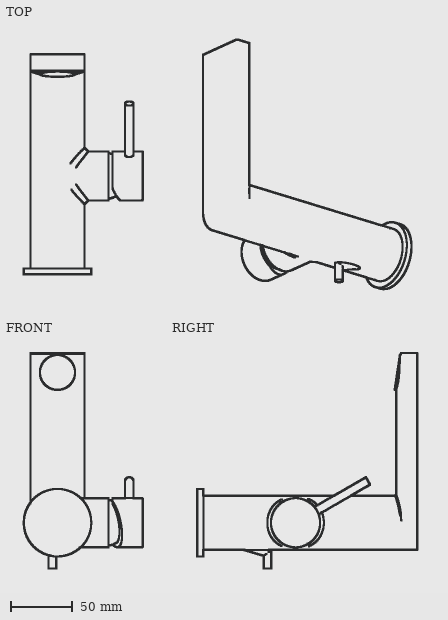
import cadquery as cq
import math


length = 179.0
spout_top = 138.0
hub_end = 69.35

body_radius = 22.1
flange_radius = 27.5
flange_thickness = 5.0

spout_edge_thickness = 13.5
spout_bow = 3.8
tip_bow = 0.3
edge_round = 0.8
corner_chamfer = 0.8

outlet_blend_start = 109.0
outlet_radius = 14.3
outlet_height = 122.2
outlet_tilt = 8.5
outlet_depth = 16.4
outlet_length = 8.0

hub_y = 80.0
hub_radius = 20.0
hub_collar_end = 41.5
hub_root_chamfer = 3.0
dome_radius = 19.0
dome_center_x = 38.2
cap_start = 44.6
cap_round = 1.0
relief_slope = 21.6

lever_x = 58.3
lever_radius = 3.5
lever_reach = 68.0
lever_angle = 30.0

pin_x = -4.2
pin_y = 57.2
pin_radius = 3.25
pin_tip_z = -37.31
pin_elbow_z = -24.5
pin_leg_rise = 16.5
pin_leg_length = 28.0


def cylinder(start, direction, radius, height):
    """Solid cylinder from a start point along a direction."""
    return cq.Workplane(cq.Solid.makeCylinder(radius, height, cq.Vector(*start), cq.Vector(*direction)))


def make_blade():
    """Flat spout blade with a half-round foot matching the body, rounded on all its outer edges."""
    return (
        cq.Workplane("XZ", origin=(0, length, 0))
        .moveTo(body_radius, 0)
        .lineTo(body_radius, spout_top)
        .lineTo(-body_radius, spout_top)
        .lineTo(-body_radius, 0)
        .threePointArc((0, -body_radius), (body_radius, 0))
        .close()
        .extrude(spout_edge_thickness)
        .faces("<Y or >Y or >Z")
        .edges()
        .fillet(edge_round)
    )


def bow_section(z, bow):
    """Section at height z of the bulge on the blade's underside, bow high in the middle."""
    half_width = body_radius - edge_round
    underside_y = length - spout_edge_thickness
    root_y = length - spout_edge_thickness / 2
    return (
        cq.Workplane("XY", origin=(0, 0, z))
        .moveTo(-half_width, underside_y)
        .threePointArc((0, underside_y - bow), (half_width, underside_y))
        .lineTo(half_width, root_y)
        .lineTo(-half_width, root_y)
        .close()
    )


def make_bow():
    """Bulge along the blade's underside that fades out towards the tip."""
    straight = bow_section(0, spout_bow).extrude(outlet_blend_start)
    lower = bow_section(outlet_blend_start, spout_bow).wires().val()
    upper = bow_section(spout_top - edge_round, tip_bow).wires().val()
    tip = cq.Workplane(cq.Solid.makeLoft([lower, upper], True))
    return straight.union(tip)


def make_outlet():
    """Tilted aerator disc set into the underside of the spout tip."""
    tilt = math.radians(outlet_tilt)
    inward = (0, math.cos(tilt), -math.sin(tilt))
    return cylinder((0, length - outlet_depth, outlet_height), inward, outlet_radius, outlet_length)


def make_body():
    """Body tube joined to the spout blade, with a small bevel in the inner corner between them."""
    tube = cylinder((0, 0, 0), (0, 1, 0), body_radius, length - 2 * edge_round)
    body = make_blade().union(make_bow()).union(tube)
    underside_y = length - spout_edge_thickness
    half_width = body_radius - edge_round
    corner_box = cq.selectors.BoxSelector(
        (-half_width, underside_y - spout_bow, 0),
        (half_width, underside_y, body_radius),
    )
    return body.edges(corner_box).chamfer(corner_chamfer)


def add_hub_collar(body):
    """Valve hub branching off the body with a chamfered root."""
    collar = cylinder((0, hub_y, 0), (1, 0, 0), hub_radius, hub_collar_end)
    joined = body.union(collar)
    root_box = cq.selectors.BoxSelector(
        (0, hub_y - hub_radius, -hub_radius),
        (body_radius, hub_y + hub_radius, hub_radius),
    )
    return joined.edges(root_box).chamfer(hub_root_chamfer)


def make_dome():
    """Ball-shaped cartridge cover seen in the gap between collar and cap."""
    return cq.Workplane("XY").sphere(dome_radius).translate((dome_center_x, hub_y, 0))


def make_cap():
    """Handle cap with a sloped relief on the half facing away from the lever."""
    cap = cylinder((cap_start, 0, 0), (1, 0, 0), hub_radius, hub_end - cap_start)
    cap = cap.faces(">X").edges().fillet(cap_round)
    relief_depth = hub_radius * math.tan(math.radians(relief_slope))
    relief = (
        cq.Workplane("XY")
        .polyline([(cap_start, 0), (cap_start, -hub_radius), (cap_start + relief_depth, -hub_radius)])
        .close()
        .extrude(hub_radius, both=True)
    )
    return cap.cut(relief).rotate((0, 0, 0), (1, 0, 0), lever_angle).translate((0, hub_y, 0))


def make_lever():
    """Straight rod from the hub axis, leaning up and away from the flange."""
    angle = math.radians(lever_angle)
    direction = (0, math.cos(angle), math.sin(angle))
    return cylinder((lever_x, hub_y, 0), direction, lever_radius, lever_reach)


def make_pin():
    """Mitred elbow: a vertical pin below the body and a leg sloping up into it."""
    rise = math.radians(pin_leg_rise)
    path = (
        cq.Workplane("YZ", origin=(pin_x, 0, 0))
        .moveTo(pin_y, pin_tip_z)
        .lineTo(pin_y, pin_elbow_z)
        .lineTo(pin_y - pin_leg_length * math.cos(rise), pin_elbow_z + pin_leg_length * math.sin(rise))
    )
    profile = cq.Workplane("XY", origin=(pin_x, pin_y, pin_tip_z)).circle(pin_radius)
    return profile.sweep(path, transition="right")


flange = cylinder((0, 0, 0), (0, 1, 0), flange_radius, flange_thickness)

result = (
    add_hub_collar(make_body())
    .union(flange)
    .union(make_outlet())
    .union(make_dome())
    .union(make_cap())
    .union(make_lever())
    .union(make_pin())
)